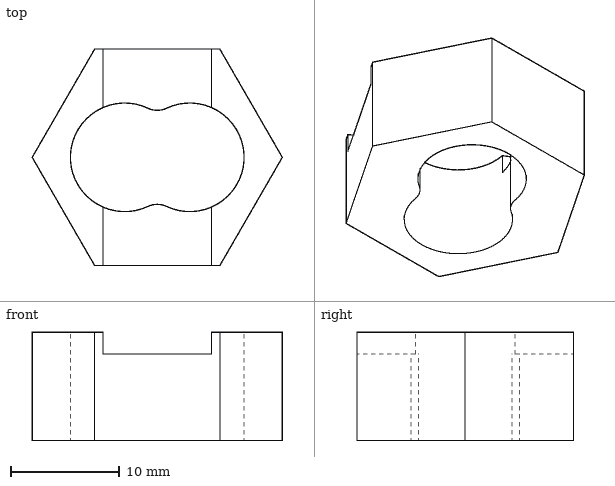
import cadquery as cq
import math

across_corners = 23.1
across_flats = across_corners * math.sqrt(3) / 2
height = across_flats / 2

slot_width = across_flats / 2
slot_depth = 2.0

bore_radius = across_flats / 4
bore_offset = 3.0
waist_radius = 2.0


def hexagonal_body():
    return cq.Workplane("XY").polygon(6, across_corners).extrude(height)


def top_slot():
    return (
        cq.Workplane("XY")
        .workplane(offset=height - slot_depth)
        .rect(slot_width, across_flats)
        .extrude(slot_depth)
    )


def double_bore():
    center_distance = bore_radius + waist_radius
    waist_center_y = math.sqrt(center_distance**2 - bore_offset**2)
    waist_y = waist_center_y - waist_radius
    tangent_x = bore_offset * waist_radius / center_distance
    tangent_y = waist_center_y * bore_radius / center_distance
    end_x = bore_offset + bore_radius
    return (
        cq.Workplane("XY")
        .moveTo(tangent_x, -tangent_y)
        .threePointArc((end_x, 0), (tangent_x, tangent_y))
        .threePointArc((0, waist_y), (-tangent_x, tangent_y))
        .threePointArc((-end_x, 0), (-tangent_x, -tangent_y))
        .threePointArc((0, -waist_y), (tangent_x, -tangent_y))
        .close()
        .extrude(height)
    )


result = hexagonal_body().cut(top_slot()).cut(double_bore())